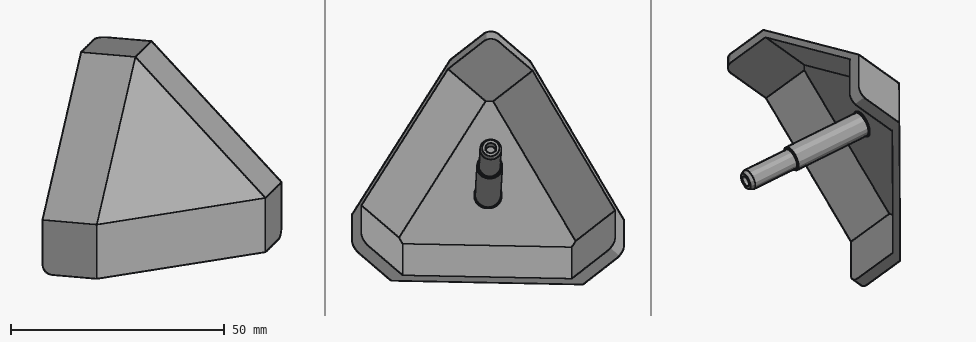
import cadquery as cq
import math

size = 45.0
arm_width = 13.28
end_wall = 3.05
slope_wall = 1.65
corner_radius = 2.48

shaft_diameter = 6.0
tip_diameter = 5.0
socket_diameter = 2.5
socket_depth = 2.5
pin_start = 6.4
pin_step = 19.25
tip_chamfer = 0.5
tip_chamfer_length = 1.0
shaft_chamfer = 0.2
root_flare = 0.25

corner = cq.Vector(0, size, 0)
diagonal = cq.Vector(1, -1, 1)

bevel_distance = (size + arm_width) / math.sqrt(2)
facet_distance = (size + 2 * arm_width) / math.sqrt(3)


def half_space(normal, distance):
    """Large block holding everything within a distance of the cube corner along a normal."""
    reach = 4 * size
    origin = corner + normal.normalized() * distance
    plane = cq.Plane(origin=origin.toTuple(), normal=normal.toTuple())
    return cq.Workplane(plane).rect(reach, reach).extrude(-reach)


def beveled_cube(end_inset, slope_inset):
    """Cube with three beveled edges and a triangular facet, its far sides moved inward."""
    side = size - end_inset
    body = cq.Workplane("XY").box(side, side, side, centered=False).translate((0, end_inset, 0))
    for normal in (cq.Vector(1, -1, 0), cq.Vector(1, 0, 1), cq.Vector(0, -1, 1)):
        body = body.intersect(half_space(normal, bevel_distance - slope_inset))
    return body.intersect(half_space(diagonal, facet_distance - slope_inset))


def make_cover():
    """Hollow cover, open towards the cube corner, with rounded arm ends."""
    cover = beveled_cube(0, 0).cut(beveled_cube(end_wall, slope_wall))
    middle = size - end_wall / 2
    for point in ((middle, size, 0), (0, size - middle, 0), (0, size, middle)):
        edge = cq.selectors.NearestToPointSelector(point)
        cover = cover.edges(edge).fillet(corner_radius)
    return cover


def make_pin():
    """Stepped pin from near the cube corner to the inside of the triangular facet."""
    pin_root = facet_distance - slope_wall
    shaft_radius = shaft_diameter / 2
    tip_radius = tip_diameter / 2
    root_radius = shaft_radius + root_flare
    profile = [
        (0, pin_start),
        (tip_radius - tip_chamfer, pin_start),
        (tip_radius, pin_start + tip_chamfer_length),
        (tip_radius, pin_step),
        (shaft_radius - shaft_chamfer, pin_step),
        (shaft_radius, pin_step + shaft_chamfer),
        (shaft_radius, pin_root - root_flare),
        (root_radius, pin_root),
        (root_radius, pin_root + slope_wall / 2),
        (0, pin_root + slope_wall / 2),
    ]
    pin = cq.Workplane("XZ").polyline(profile).close().revolve(360, (0, 0), (0, 1))
    socket = (
        cq.Workplane("XY").workplane(offset=pin_start)
        .circle(socket_diameter / 2).extrude(socket_depth)
    )
    axis_plane = cq.Plane(origin=corner.toTuple(), normal=diagonal.toTuple())
    return cq.Workplane(obj=pin.cut(socket).val().moved(cq.Location(axis_plane)))


result = make_cover().union(make_pin())